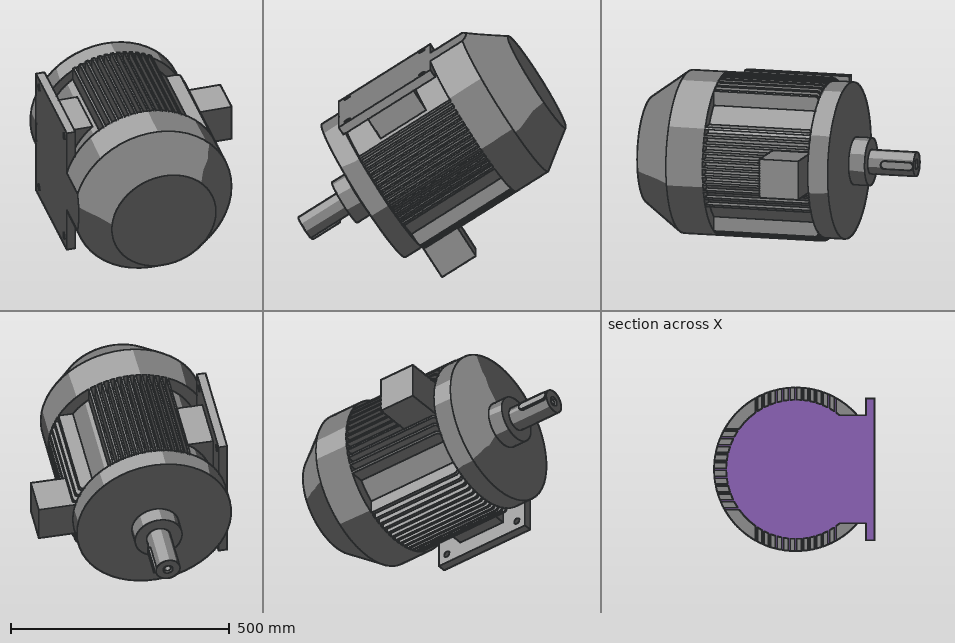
import cadquery as cq
import math


hub_x = 108.5
end_bell_x = 146.0
flange_x = 160.0
body_x = 207.0
cowl_x = 456.0
cowl_taper_x = 543.0
rear_x = 630.0
body_length = cowl_x - body_x

shaft_radius = 56.0 / 2
hub_radius = 55.0
flange_radius = 180.0
core_radius = 159.5
cowl_radius = 375.0 / 2
rear_radius = 124.0

centre_hole_radius = 7.5
centre_hole_mouth_radius = 11.5
centre_hole_depth = 31.5
drill_point_angle = 118

key_length = 77.0
key_width = 18.0
key_top_y = 32.0

fin_thickness = 5.0
fin_reach = 90.0
top_pitches_in_reach = 6
back_pitches_in_reach = 5
fin_nose_radius = cowl_radius - flange_radius

foot_y = -flange_radius
plate_thickness = 20.0
plate_height = 325.0
plate_hole_radius = 7.5
plate_hole_pitch_x = 202.0
plate_hole_pitch_z = 278.0
pad_start_x = 270.0
pad_length = 123.5
pad_height = 247.5

box_length = 92.0
box_height = 89.5
box_top_y = 259.5


def box_between(x_range, y_range, z_range):
    """Axis-aligned box given its limits along each axis."""
    sizes = [end - start for start, end in (x_range, y_range, z_range)]
    corner = (x_range[0], y_range[0], z_range[0])
    return cq.Workplane("XY").box(*sizes, centered=False).translate(corner)


def revolve_about_axis(profile):
    """Turn a closed half profile, drawn as (x, radius), about the X axis."""
    return profile.close().revolve(360, (0, 0, 0), (1, 0, 0))


def make_turned_body():
    """Shaft, hub, end bell, core and fan cowl; the cowl is cut flat in line with the foot."""
    profile = cq.Workplane("XY").polyline([
        (0, 0),
        (0, shaft_radius),
        (hub_x, shaft_radius),
        (hub_x, hub_radius),
        (end_bell_x, hub_radius),
        (flange_x, flange_radius),
        (body_x, flange_radius),
        (body_x, core_radius),
        (cowl_x, core_radius),
        (cowl_x, cowl_radius),
        (cowl_taper_x, cowl_radius),
        (rear_x, rear_radius),
        (rear_x, 0),
    ])
    below_foot = box_between(
        (cowl_x, rear_x), (-2 * cowl_radius, foot_y), (-cowl_radius, cowl_radius)
    )
    return revolve_about_axis(profile).cut(below_foot)


def make_centre_hole():
    """Blind drilled hole in the shaft end with a 45 degree countersink and a drill point."""
    countersink_depth = centre_hole_mouth_radius - centre_hole_radius
    point_depth = centre_hole_radius / math.tan(math.radians(drill_point_angle / 2))
    profile = cq.Workplane("XY").polyline([
        (0, 0),
        (0, centre_hole_mouth_radius),
        (countersink_depth, centre_hole_radius),
        (centre_hole_depth, centre_hole_radius),
        (centre_hole_depth + point_depth, 0),
    ])
    return revolve_about_axis(profile)


def make_key():
    """Round-ended key standing on the +Y side of the shaft."""
    return (
        cq.Workplane("XZ")
        .center(key_length / 2, 0)
        .slot2D(key_length, key_width)
        .extrude(-key_top_y)
    )


def make_fins():
    """Straight fins on +Z, -Z and +Y, trimmed to the cowl radius with rounded front corners."""
    nose_offset = fin_nose_radius * (1 - math.sqrt(0.5))
    envelope = revolve_about_axis(
        cq.Workplane("XY")
        .moveTo(body_x, 0)
        .lineTo(body_x, cowl_radius - fin_nose_radius)
        .threePointArc(
            (body_x + nose_offset, cowl_radius - nose_offset),
            (body_x + fin_nose_radius, cowl_radius),
        )
        .lineTo(cowl_x, cowl_radius)
        .lineTo(cowl_x, 0)
    )
    length = (body_x, cowl_x)
    half = fin_thickness / 2
    fins = cq.Workplane("XY")

    top_pitch = fin_reach / top_pitches_in_reach
    for index in range(-top_pitches_in_reach, top_pitches_in_reach + 1):
        y = index * top_pitch
        fins = fins.add(box_between(length, (y - half, y + half), (-cowl_radius, cowl_radius)))

    back_pitch = fin_reach / back_pitches_in_reach
    for index in range(-back_pitches_in_reach, back_pitches_in_reach + 1):
        z = index * back_pitch
        fins = fins.add(box_between(length, (0, cowl_radius), (z - half, z + half)))

    return fins.combine().intersect(envelope)


def make_foot():
    """Foot plate with four through holes, and the pad running back into the core."""
    plate_top_y = foot_y + plate_thickness
    plate = box_between(
        (body_x, cowl_x), (foot_y, plate_top_y), (-plate_height / 2, plate_height / 2)
    )
    holes = (
        cq.Workplane("XZ", origin=(body_x + body_length / 2, plate_top_y, 0))
        .rarray(plate_hole_pitch_x, plate_hole_pitch_z, 2, 2)
        .circle(plate_hole_radius)
        .extrude(plate_thickness)
    )
    pad = box_between(
        (pad_start_x, pad_start_x + pad_length), (foot_y, 0), (-pad_height / 2, pad_height / 2)
    )
    return plate.cut(holes).union(pad)


def make_terminal_box():
    """Plain box on the +Y side at the front of the finned length."""
    return box_between(
        (body_x, body_x + box_length), (0, box_top_y), (-box_height / 2, box_height / 2)
    )


result = (
    make_turned_body()
    .union(make_fins())
    .union(make_foot())
    .union(make_terminal_box())
    .union(make_key())
    .cut(make_centre_hole())
)